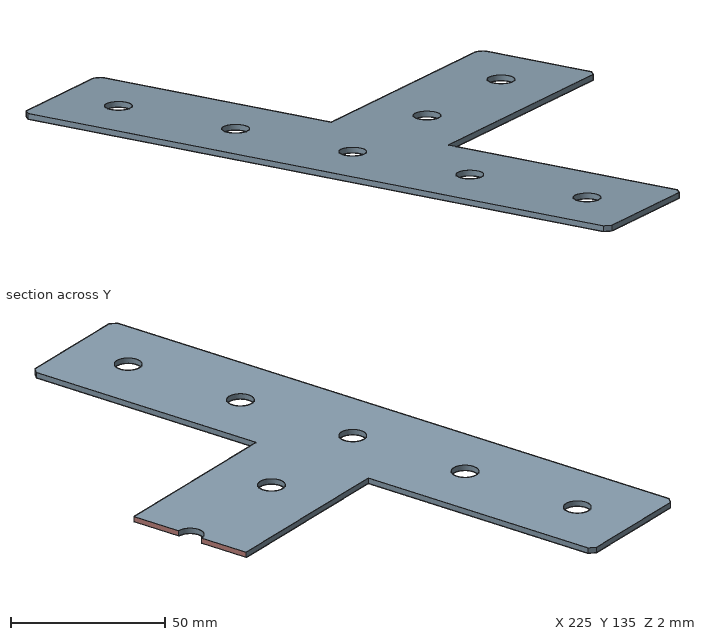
import cadquery as cq

length = 225.0
thickness = 2.0
bar_width = length / 5
depth = 3 * bar_width
hole_diameter = 9.0
corner_chamfer = 2.0

half_length = length / 2
half_bar = bar_width / 2
outline = [
    (-half_length, 0),
    (half_length, 0),
    (half_length, bar_width),
    (half_bar, bar_width),
    (half_bar, depth),
    (-half_bar, depth),
    (-half_bar, bar_width),
    (-half_length, bar_width),
]
plate = cq.Workplane("XY").polyline(outline).close().extrude(thickness)

crossbar_corners = plate.edges("|Z and (<X or >X)")
stem_corners = plate.edges("|Z and >Y")
plate = crossbar_corners.add(stem_corners).chamfer(corner_chamfer)

crossbar_holes = [(cell * bar_width, half_bar) for cell in range(-2, 3)]
stem_holes = [(0, half_bar + cell * bar_width) for cell in (1, 2)]
holes = (
    cq.Workplane("XY")
    .pushPoints(crossbar_holes + stem_holes)
    .circle(hole_diameter / 2)
    .extrude(thickness)
)

result = plate.cut(holes)